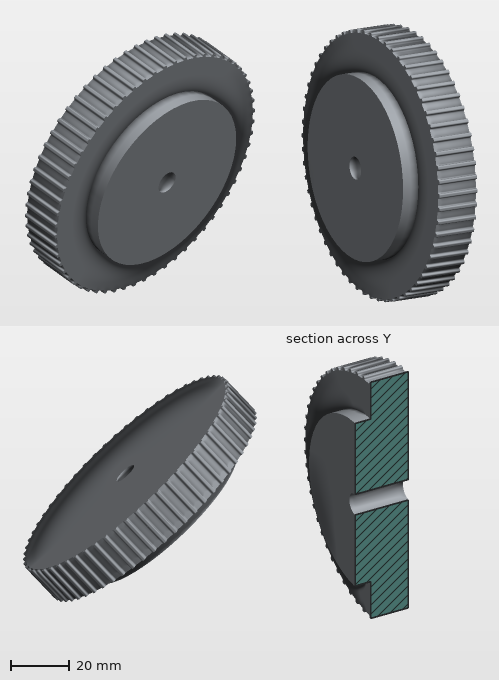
import cadquery as cq
import math

outer_diameter = 94.25
rim_width = 15.0
tooth_count = 60

tooth_width = 1.5
tooth_height = 1.1
tip_fillet = 0.5
foot_fillet = 0.5

hub_diameter = 65.0
hub_length = 6.0
bore_diameter = 8.0

tip_radius = outer_diameter / 2
root_radius = tip_radius - tooth_height
pitch_angle = 2 * math.pi / tooth_count
half_tooth = tooth_width / 2

foot_centre_side = half_tooth + foot_fillet
foot_angle = math.asin(foot_centre_side / (root_radius + foot_fillet))
foot_centre_out = (root_radius + foot_fillet) * math.cos(foot_angle)
foot_mid_angle = (math.pi / 2 + foot_angle) / 2

tip_centre_side = half_tooth - tip_fillet
tip_centre_out = tip_radius - tip_fillet

foot_start = (root_radius * math.cos(foot_angle), root_radius * math.sin(foot_angle))
foot_middle = (
    foot_centre_out - foot_fillet * math.cos(foot_mid_angle),
    foot_centre_side - foot_fillet * math.sin(foot_mid_angle),
)
foot_end = (foot_centre_out, half_tooth)
tip_start = (tip_centre_out, half_tooth)
tip_middle = (
    tip_centre_out + tip_fillet * math.sqrt(0.5),
    tip_centre_side + tip_fillet * math.sqrt(0.5),
)
tip_end = (tip_radius, tip_centre_side)


def place(point, angle, side=1):
    """Turn an (outward, sideways) tooth point to the given angle; side=-1 mirrors it."""
    outward = point[0]
    sideways = side * point[1]
    y = outward * math.cos(angle) - sideways * math.sin(angle)
    z = outward * math.sin(angle) + sideways * math.cos(angle)
    return (y, z)


def add_tooth(outline, angle):
    """Draw one tooth from its leading foot to its trailing foot."""
    outline = outline.threePointArc(place(foot_middle, angle, -1), place(foot_end, angle, -1))
    outline = outline.lineTo(*place(tip_start, angle, -1))
    outline = outline.threePointArc(place(tip_middle, angle, -1), place(tip_end, angle, -1))
    outline = outline.lineTo(*place(tip_end, angle))
    outline = outline.threePointArc(place(tip_middle, angle), place(tip_start, angle))
    outline = outline.lineTo(*place(foot_end, angle))
    return outline.threePointArc(place(foot_middle, angle), place(foot_start, angle))


def make_toothed_rim():
    """Disc whose teeth are joined by arcs of the root circle, with one tooth centred on +Y."""
    root_middle = (root_radius, 0)
    outline = cq.Workplane("YZ").moveTo(*place(foot_start, 0, -1))
    for index in range(tooth_count):
        angle = index * pitch_angle
        outline = add_tooth(outline, angle)
        outline = outline.threePointArc(
            place(root_middle, angle + pitch_angle / 2),
            place(foot_start, angle + pitch_angle, -1),
        )
    return outline.close().extrude(rim_width)


def make_hub():
    """Plain round hub on the +X face of the rim."""
    return cq.Workplane("YZ", origin=(rim_width, 0, 0)).circle(hub_diameter / 2).extrude(hub_length)


def make_bore():
    """Cylinder along the full length of rim and hub."""
    return cq.Workplane("YZ").circle(bore_diameter / 2).extrude(rim_width + hub_length)


result = make_toothed_rim().union(make_hub()).cut(make_bore())